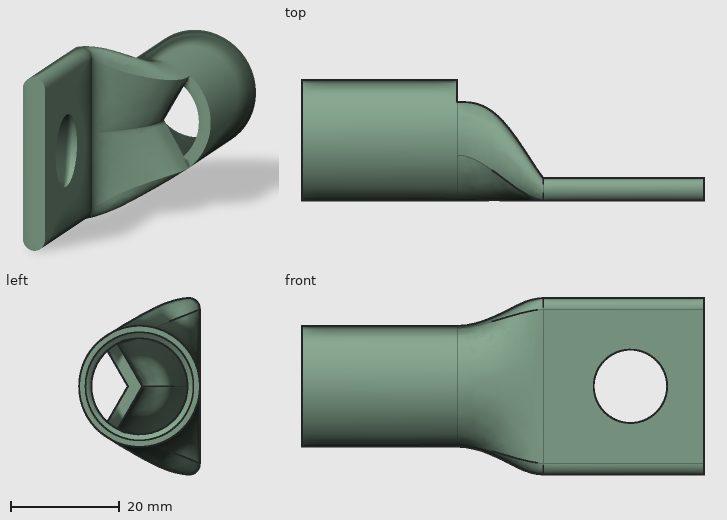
import cadquery as cq
import math

total_length = 73.9
barrel_length = 28.5
tongue_start = 44.35
outer_diameter = 22.25
wall = 2.3
mouth_chamfer = 1.1

tongue_width = 32.5
tongue_thickness = 4.2
hole_diameter = 13.45
hole_x = 60.4

fold_slope = math.radians(60)
fold_apex_y = 2.15
side_start_angle = math.radians(104)
neck_steps = 6
slit_thickness = 0.15

outer_radius = outer_diameter / 2
bore_radius = outer_radius - wall
neck_length = tongue_start - barrel_length
tongue_mid_y = -outer_radius + tongue_thickness / 2


def ease(t):
    """Blend from 0 to 1 that starts level and arrives gently."""
    return 2.7 * t**2 - 1.7 * t**3


def late_ease(t):
    """Blend from 0 to 1 that leaves slowly and arrives steeply."""
    return 2.5 * t**3 - 1.5 * t**4


def mix(start, end, amount):
    return start + (end - start) * amount


def folded_points(radius, apex_y):
    """(y, z) of bottom, side start, side middle, fold corner and fold apex on a folded round."""
    reach = -apex_y * math.cos(fold_slope)
    reach += math.sqrt(radius**2 - (apex_y * math.sin(fold_slope))**2)
    corner = (apex_y + reach * math.cos(fold_slope), reach * math.sin(fold_slope))
    middle_angle = (math.atan2(corner[1], corner[0]) + side_start_angle) / 2
    start, middle = [
        (radius * math.cos(angle), radius * math.sin(angle))
        for angle in (side_start_angle, middle_angle)
    ]
    return [(-radius, 0), start, middle, corner, (apex_y, 0)]


def flat_points(width, thickness):
    """The same five points on a flat bar with full-round edges."""
    half = thickness / 2
    low = tongue_mid_y - half
    high = tongue_mid_y + half
    edge_z = width / 2 - half
    return [(low, 0), (low, edge_z), (tongue_mid_y, width / 2), (high, edge_z), (high, 0)]


def mirrored(point):
    return (point[0], -point[1])


def section(x, points):
    """Closed outline in the YZ plane at x, symmetric about Z = 0."""
    bottom, start, middle, corner, apex = points
    outline = cq.Workplane("YZ", origin=(x, 0, 0)).moveTo(*mirrored(start))
    if math.isclose(bottom[0], start[0]):
        outline = outline.lineTo(*start)
    else:
        outline = outline.threePointArc(bottom, start)
    outline = outline.threePointArc(middle, corner).lineTo(*apex).lineTo(*mirrored(corner))
    return outline.threePointArc(mirrored(middle), mirrored(start)).close().val()


def neck_loft(folded, flat):
    """Smooth solid between a folded round and a flat bar."""
    wires = []
    for step in range(neck_steps + 1):
        t = step / neck_steps
        y_blends = [ease(t)] * 3 + [late_ease(t)] * 2
        z_blends = [ease(t)] * 3 + [t**3] * 2
        points = [
            (mix(a[0], b[0], y_blend), mix(a[1], b[1], z_blend))
            for a, b, y_blend, z_blend in zip(folded, flat, y_blends, z_blends)
        ]
        wires.append(section(barrel_length + t * neck_length, points))
    return cq.Workplane(cq.Solid.makeLoft(wires))


barrel = cq.Workplane("YZ").circle(outer_radius).circle(bore_radius).extrude(barrel_length)
barrel = barrel.faces("<X").edges(cq.selectors.RadiusNthSelector(0)).chamfer(mouth_chamfer)

tongue_outline = flat_points(tongue_width, tongue_thickness)
inner_apex_y = fold_apex_y - wall / math.sin(fold_slope)
slit_width = tongue_width - tongue_thickness
neck = neck_loft(folded_points(outer_radius, fold_apex_y), tongue_outline)
cavity = neck_loft(folded_points(bore_radius, inner_apex_y), flat_points(slit_width, slit_thickness))
neck = neck.cut(cavity)

tongue_length = total_length - tongue_start
tongue_face = cq.Face.makeFromWires(section(tongue_start, tongue_outline))
tongue = cq.Workplane(cq.Solid.extrudeLinear(tongue_face, cq.Vector(tongue_length, 0, 0)))
bolt_hole = cq.Workplane("XZ").center(hole_x, 0).circle(hole_diameter / 2).extrude(outer_diameter, both=True)

result = barrel.union(neck).union(tongue.cut(bolt_hole))